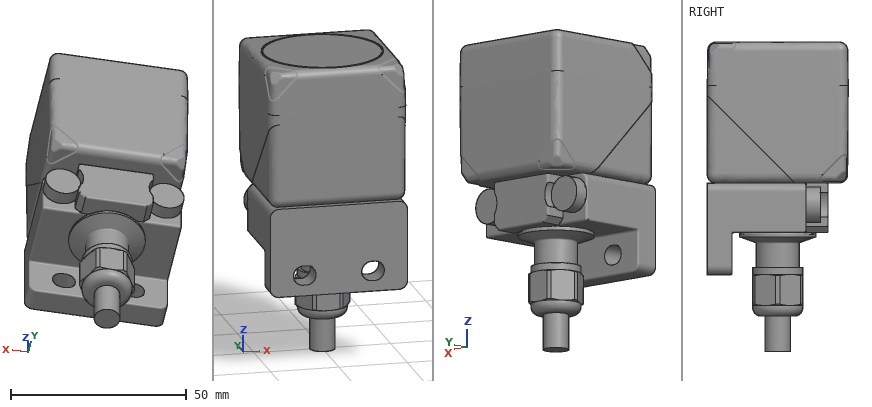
import cadquery as cq
import math


head_width = 40.15
head_height = head_width
parting_depth = 12.35
upper_draft = 0.8
lower_draft = 0.42
head_radius = 2.5
half_width = head_width / 2
parting_height = head_height - parting_depth
upper_inset = parting_depth * math.tan(math.radians(upper_draft))
lower_inset = parting_height * math.tan(math.radians(lower_draft))

wedge_leg = 25.0
wedge_step = 0.1

groove_outer_radius = 17.4
groove_width = 0.4
groove_depth = 0.2

recess_reach = 9.9
recess_depth = 0.4
recess_edge_radius = 1.6
recess_rim_radius = 0.3
facet_reach = 5.35
facet_radius = 0.8
corner_block_size = 24.0

plate_height = 26.1
plate_thickness = 7.1
bracket_radius = 2.5
arm_depth = 28.15
arm_height = 14.1
bracket_edge_radius = 0.5
bracket_back_radius = 0.65
slot_spacing = 20.0
slot_drop = 20.1
slot_length = 6.6
slot_height = 5.7

screw_spacing = 30.0
screw_drop = 6.15
screw_radius = 5.05
screw_length = 4.05
clamp_depth = 6.25
screw_clearance = 0.45
clamp_overlap = 3.5
clamp_chamfer = 1.8
clamp_edge_radius = 0.5

flange_radius = 10.9
flange_level = 15.3
flange_bottom = 16.85
stem_radius = 6.15
stem_fillet = 0.4
flange_edge_radius = 0.5
collar_top = 24.0
hex_top = 26.0
hex_bottom = 34.8
hex_flats = 14.3
hex_chamfer_height = 0.35
hex_chamfer_width = 0.73
hex_corner_diameter = 15.85
collar_radius = hex_flats / 2
gland_bottom = 37.85
gland_radius = 2.4
cable_radius = 3.65
cable_end = 47.91


def head_half(inset, narrowing, radius, upper):
    """Drafted half of the head, from the parting line to the top or to the bottom."""
    side = half_width - inset - narrowing
    front = half_width - inset
    draft_inset = upper_inset if upper else lower_inset
    front_inset = upper_inset if upper else 0
    rise = parting_depth - inset if upper else inset - parting_height
    end_front = front_inset - front
    end_back = front - draft_inset
    half = (
        cq.Workplane("XY").workplane(offset=parting_height)
        .rect(2 * side, 2 * front)
        .workplane(offset=rise)
        .center(0, (end_front + end_back) / 2)
        .rect(2 * (side - draft_inset), end_back - end_front)
        .loft(ruled=True, combine=True)
    )
    parting_face = "<Z" if upper else ">Z"
    return half.edges("not " + parting_face).fillet(radius)


def head_body(inset=0, narrowing=0, radius=head_radius):
    upper = head_half(inset, narrowing, radius, True)
    return upper.union(head_half(inset, narrowing, radius, False))


def corner_cut_point(direction, reach):
    """Point on a head corner's diagonal where a cut of the given reach crosses it."""
    level = head_height if direction[2] > 0 else 0
    corner = (direction[0] * half_width, direction[1] * half_width, level)
    return tuple(place - step * reach / 3 for place, step in zip(corner, direction))


def corner_block(direction, reach):
    """Block that covers one head corner, cut off square to the corner's diagonal."""
    plane = cq.Plane(origin=corner_cut_point(direction, reach), normal=direction)
    return cq.Workplane(plane).rect(corner_block_size, corner_block_size).extrude(reach)


def recess_corner(head, sunk_body, direction):
    """Sink one head corner, with a flat facet on its tip and a rounded rim around it."""
    facet = cq.DirectionMinMaxSelector(cq.Vector(direction), True)
    core = (
        sunk_body.cut(corner_block(direction, facet_reach))
        .faces(facet).edges().fillet(facet_radius)
    )
    rim_wall = cq.NearestToPointSelector(corner_cut_point(direction, recess_reach))
    return (
        head.cut(corner_block(direction, recess_reach).cut(core))
        .faces(rim_wall).edges().fillet(recess_rim_radius)
    )


def make_head():
    wedge = (
        cq.Workplane("YZ")
        .moveTo(-half_width, 0)
        .lineTo(wedge_leg - half_width, 0)
        .lineTo(-half_width, wedge_leg)
        .close()
        .extrude(half_width, both=True)
    )
    head = head_body().cut(wedge).union(head_body(narrowing=wedge_step).intersect(wedge))

    sunk_body = head_body(inset=recess_depth, radius=recess_edge_radius)
    for side in (-1, 1):
        for direction in ((side, -1, 1), (side, 1, -1)):
            head = recess_corner(head, sunk_body, direction)

    groove = (
        cq.Workplane("XY").workplane(offset=head_height - groove_depth)
        .circle(groove_outer_radius)
        .circle(groove_outer_radius - groove_width)
        .extrude(groove_depth)
    )
    return head.cut(groove)


def make_bracket():
    arm_back = arm_depth - half_width
    plate_back = plate_thickness - half_width
    profile = (
        cq.Workplane("YZ")
        .moveTo(-half_width, 0)
        .lineTo(arm_back, 0)
        .lineTo(arm_back, -arm_height)
        .lineTo(plate_back, -arm_height)
        .lineTo(plate_back, -plate_height)
        .lineTo(-half_width, -plate_height)
        .close()
        .extrude(half_width, both=True)
    )
    outline = (
        cq.Workplane("XZ").workplane(offset=-arm_back)
        .center(0, -plate_height / 2)
        .rect(head_width, plate_height)
        .extrude(arm_depth)
        .edges("|Y").fillet(bracket_radius)
    )
    slots = (
        cq.Workplane("XZ").workplane(offset=half_width)
        .center(0, -slot_drop)
        .rarray(slot_spacing, 1, 2, 1)
        .slot2D(slot_length, slot_height)
        .extrude(-plate_thickness)
    )
    bracket = profile.intersect(outline)
    bracket = bracket.faces(">Y").edges().fillet(bracket_back_radius)
    inner_corner = cq.NearestToPointSelector((0, plate_back, -arm_height))
    bracket = bracket.edges(inner_corner).fillet(bracket_edge_radius)
    plate_back_edge = cq.NearestToPointSelector((half_width, plate_back, -slot_drop))
    bracket = bracket.edges(plate_back_edge).fillet(bracket_edge_radius)
    return bracket.cut(slots)


def make_clamp():
    arm_back = arm_depth - half_width
    bore_radius = screw_radius + screw_clearance
    wall_offset = math.sqrt(bore_radius**2 - clamp_overlap**2)
    clamp_width = screw_spacing - 2 * wall_offset
    clamp = (
        cq.Workplane("XZ").workplane(offset=-arm_back)
        .center(0, -arm_height / 2)
        .rect(clamp_width, arm_height)
        .extrude(-clamp_depth)
        .edges("|Y and <Z").chamfer(clamp_chamfer)
        .edges(">Y or (|Y and >Z)").fillet(clamp_edge_radius)
    )
    screw_plane = (
        cq.Workplane("XZ").workplane(offset=-arm_back)
        .center(0, -screw_drop)
        .rarray(screw_spacing, 1, 2, 1)
    )
    bores = screw_plane.circle(bore_radius).extrude(-clamp_depth)
    screws = screw_plane.circle(screw_radius).extrude(-screw_length)
    return clamp.cut(bores).union(screws)


def make_gland():
    turned = (
        cq.Workplane("XZ")
        .moveTo(0, -arm_height)
        .lineTo(flange_radius - flange_edge_radius, -arm_height)
        .radiusArc((flange_radius, -arm_height - flange_edge_radius), flange_edge_radius)
        .lineTo(flange_radius, -flange_level)
        .lineTo(stem_radius + stem_fillet, -flange_bottom)
        .radiusArc((stem_radius, -flange_bottom - stem_fillet), -stem_fillet)
        .lineTo(stem_radius, -collar_top)
        .lineTo(collar_radius, -collar_top)
        .lineTo(collar_radius, gland_radius - gland_bottom)
        .radiusArc((collar_radius - gland_radius, -gland_bottom), gland_radius)
        .lineTo(cable_radius, -gland_bottom)
        .lineTo(cable_radius, -cable_end)
        .lineTo(0, -cable_end)
        .close()
        .revolve(360, (0, 0, 0), (0, 1, 0))
    )
    hex_plane = cq.Workplane("XY").workplane(offset=-hex_bottom)
    hex_height = hex_bottom - hex_top
    hexagon = hex_plane.polygon(6, hex_flats / math.cos(math.pi / 6)).extrude(hex_height)
    corner_round = (
        hex_plane.circle(hex_corner_diameter / 2)
        .extrude(hex_height)
        .faces("<Z or >Z").chamfer(hex_chamfer_height, hex_chamfer_width)
    )
    return turned.union(hexagon.intersect(corner_round))


result = make_head().union(make_bracket()).union(make_clamp()).union(make_gland())